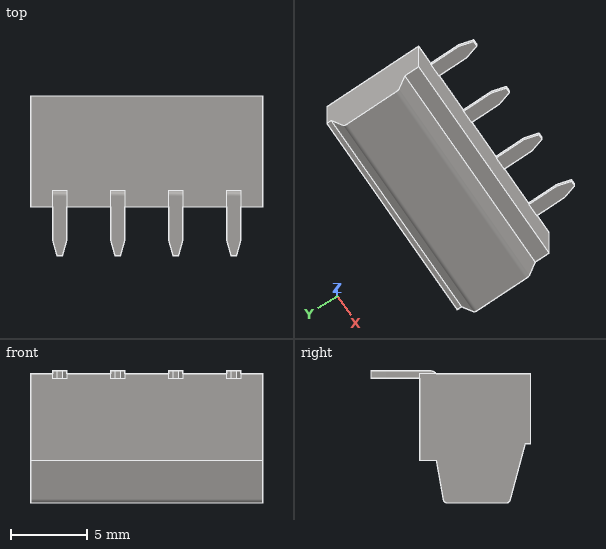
import cadquery as cq
import math


pin_count = 4
pitch = 3.81
length = pin_count * pitch
depth = 7.3
height = 8.5

front_ledge_z = 2.8
front_ledge_width = 1.1
front_draft = 10.0
back_ledge_z = 3.9
back_ledge_width = 0.35
back_draft = 15.0
foot_radius = 0.3

pin_width = 0.93
pin_thickness = 0.5
pin_rise = 0.2
pin_reach = 3.2
pin_length = 4.4
bend_radius = pin_thickness
tip_width = 0.37
tip_length = 1.0


def make_housing():
    """Side outline extruded along X, with the two bottom edges rounded."""
    foot_front = front_ledge_width + front_ledge_z * math.tan(math.radians(front_draft))
    foot_back = depth - back_ledge_width - back_ledge_z * math.tan(math.radians(back_draft))
    outline = [
        (0, height),
        (0, front_ledge_z),
        (front_ledge_width, front_ledge_z),
        (foot_front, 0),
        (foot_back, 0),
        (depth - back_ledge_width, back_ledge_z),
        (depth, back_ledge_z),
        (depth, height),
    ]
    block = cq.Workplane("YZ").polyline(outline).close().extrude(length / 2, both=True)
    return block.faces("<Z").edges("|X").fillet(foot_radius)


def make_pin(x):
    """Flat pin with a tapered tip and a rounded bend entering the housing."""
    tip_y = -pin_reach
    back_y = tip_y + pin_length
    taper_y = tip_y + tip_length
    half_width = pin_width / 2
    half_tip = tip_width / 2
    top_z = height + pin_rise
    bottom_z = top_z - pin_thickness
    blade_outline = [
        (x - half_width, back_y),
        (x - half_width, taper_y),
        (x - half_tip, tip_y),
        (x + half_tip, tip_y),
        (x + half_width, taper_y),
        (x + half_width, back_y),
    ]
    blade = (
        cq.Workplane("XY", origin=(0, 0, bottom_z))
        .polyline(blade_outline)
        .close()
        .extrude(pin_thickness)
    )
    bend_start_y = back_y - bend_radius
    side_profile = (
        cq.Workplane("YZ", origin=(x - half_width, 0, 0))
        .moveTo(tip_y, bottom_z)
        .lineTo(back_y, bottom_z)
        .radiusArc((bend_start_y, top_z), -bend_radius)
        .lineTo(tip_y, top_z)
        .close()
        .extrude(pin_width)
    )
    return blade.intersect(side_profile)


result = make_housing()
for index in range(pin_count):
    pin_x = (index - (pin_count - 1) / 2) * pitch
    result = result.union(make_pin(pin_x))